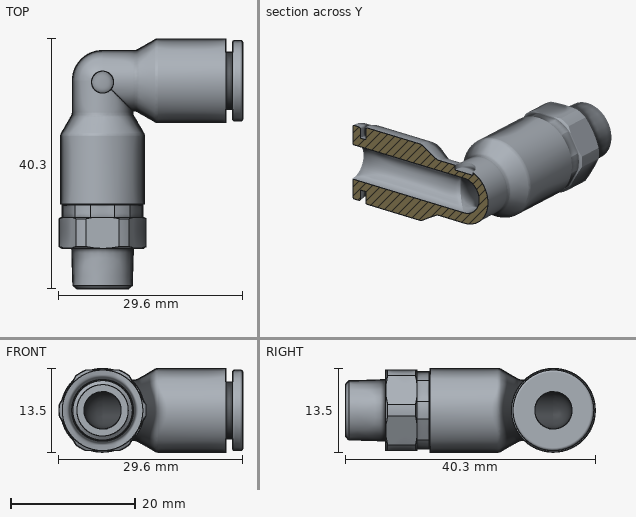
import cadquery as cq
import math


bore_radius = 3.0
elbow_radius = 4.88
body_radius = 6.75
body_end = 19.85
cone_start = 5.45
cone_angle = 30.0
cone_blend_radius = 1.0
cone_end = cone_start + (body_radius - elbow_radius) / math.tan(math.radians(cone_angle))

ring_neck_radius = 4.6
ring_radius = 6.5
ring_start = 20.92
ring_end = 22.57
ring_edge_radius = 0.4

gap_radius = 5.8
collar_start = 20.03
hex_start = 22.0
hex_end = 27.0
stem_end = 33.5

collar_flats = 12.45
collar_corner_radius = 6.52
hex_flats = 13.0
hex_corner_radius = 7.03
hex_chamfer_angle = 30.0
hex_inner_chamfer_radius = 6.65
hex_outer_chamfer_radius = 6.49

gauge_radius = 4.864
gauge_position = 30.5
taper_slope = 1 / 32
thread_chamfer_length = 0.55
thread_chamfer_depth = 0.65

recess_radius = 1.77
recess_offset_y = -0.22
recess_floor_z = 4.05


def turned(points):
    """Solid of revolution about X from a profile of (position, radius) points."""
    axis_start = (0, 0, 0)
    axis_end = (1, 0, 0)
    return cq.Workplane("XY").polyline(points).close().revolve(360, axis_start, axis_end)


def round_bar(start, end, radius):
    """Cylinder along X."""
    return cq.Workplane("YZ", origin=(start, 0, 0)).circle(radius).extrude(end - start)


def hex_bar(start, end, across_flats):
    """Hexagonal bar along X with its corners on the Y axis, so two flats face up and down."""
    across_corners = across_flats / math.cos(math.radians(30))
    return cq.Workplane("YZ", origin=(start, 0, 0)).polygon(6, across_corners).extrude(end - start)


def limb_body():
    """Narrow neck opening through a blended cone to the full body."""
    body = turned([
        (0, 0),
        (0, elbow_radius),
        (cone_start, elbow_radius),
        (cone_end, body_radius),
        (body_end, body_radius),
        (body_end, 0),
    ])
    margin = 0.1
    reach = body_radius + margin
    cone_zone = cq.selectors.BoxSelector(
        (cone_start - margin, -reach, -reach), (cone_end + margin, reach, reach), boundingbox=True
    )
    return body.edges(cone_zone).edges("%CIRCLE").fillet(cone_blend_radius)


def release_ring():
    neck = round_bar(body_end, ring_start, ring_neck_radius)
    flange = round_bar(ring_start, ring_end, ring_radius).edges("%CIRCLE").fillet(ring_edge_radius)
    return neck.union(flange)


def collar():
    bar = round_bar(collar_start, hex_start, collar_corner_radius)
    return bar.intersect(hex_bar(collar_start, hex_start, collar_flats))


def hexagon():
    """Hexagon with rounded corners and a conical chamfer at both ends."""
    chamfer_slope = math.tan(math.radians(hex_chamfer_angle))
    inner_length = (hex_corner_radius - hex_inner_chamfer_radius) * chamfer_slope
    outer_length = (hex_corner_radius - hex_outer_chamfer_radius) * chamfer_slope
    envelope = turned([
        (hex_start, 0),
        (hex_start, hex_inner_chamfer_radius),
        (hex_start + inner_length, hex_corner_radius),
        (hex_end - outer_length, hex_corner_radius),
        (hex_end, hex_outer_chamfer_radius),
        (hex_end, 0),
    ])
    return envelope.intersect(hex_bar(hex_start, hex_end, hex_flats))


def taper_radius(position):
    return gauge_radius + (gauge_position - position) * taper_slope


def thread():
    """Plain taper thread envelope, chamfered at the tip."""
    chamfer_start = stem_end - thread_chamfer_length
    return turned([
        (hex_end, 0),
        (hex_end, taper_radius(hex_end)),
        (chamfer_start, taper_radius(chamfer_start)),
        (stem_end, taper_radius(chamfer_start) - thread_chamfer_depth),
        (stem_end, 0),
    ])


def onto_stem(limb):
    """Turn a limb modelled along +X onto -Y."""
    return limb.rotate((0, 0, 0), (0, 0, 1), -90)


tube_limb = limb_body().union(release_ring())
stem_gap = round_bar(body_end, collar_start, gap_radius)
stem = limb_body().union(stem_gap).union(collar()).union(hexagon()).union(thread())
fitting = tube_limb.union(onto_stem(stem)).union(cq.Workplane("XY").sphere(elbow_radius))

passage = round_bar(0, ring_end, bore_radius)
passage = passage.union(onto_stem(round_bar(0, stem_end, bore_radius)))
passage = passage.union(cq.Workplane("XY").sphere(bore_radius))

recess_plane = cq.Workplane("XY", origin=(0, recess_offset_y, recess_floor_z))
recess = recess_plane.circle(recess_radius).extrude(elbow_radius - recess_floor_z)

result = fitting.cut(passage).cut(recess)